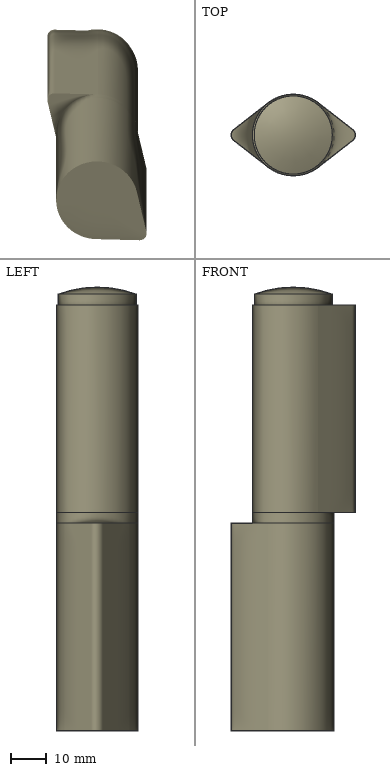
import cadquery as cq
import math

total_height = 125.0
barrel_radius = 23.0 / 2
fin_reach = 17.5
fin_tip_radius = 2.0
washer_thickness = 3.0
cap_radius = 22.0 / 2
cap_rim_height = 3.0
cap_dome_height = 2.0

cap_height = cap_rim_height + cap_dome_height
leaf_length = (total_height - cap_height - washer_thickness) / 2
washer_base = leaf_length
upper_leaf_base = washer_base + washer_thickness
cap_base = upper_leaf_base + leaf_length


def make_leaf(base_z, side):
    """Teardrop prism: a round barrel drawn out to a rounded fin towards +X (side=1) or -X (side=-1)."""
    tip_center = fin_reach - fin_tip_radius
    normal_x = (barrel_radius - fin_tip_radius) / tip_center
    normal_y = math.sqrt(1 - normal_x**2)
    barrel_x = side * barrel_radius * normal_x
    barrel_y = barrel_radius * normal_y
    tip_x = side * (tip_center + fin_tip_radius * normal_x)
    tip_y = fin_tip_radius * normal_y
    return (
        cq.Workplane("XY", origin=(0, 0, base_z))
        .moveTo(barrel_x, barrel_y)
        .threePointArc((-side * barrel_radius, 0), (barrel_x, -barrel_y))
        .lineTo(tip_x, -tip_y)
        .threePointArc((side * fin_reach, 0), (tip_x, tip_y))
        .close()
        .extrude(leaf_length)
    )


def make_washer():
    """Plain disc that separates the two leaves."""
    return cq.Workplane("XY", origin=(0, 0, washer_base)).circle(barrel_radius).extrude(washer_thickness)


def make_cap():
    """Short cylinder with a shallow spherical dome, revolved about the hinge axis."""
    dome_radius = (cap_radius**2 + cap_dome_height**2) / (2 * cap_dome_height)
    dome_center_z = total_height - dome_radius
    mid_x = cap_radius / 2
    mid_z = dome_center_z + math.sqrt(dome_radius**2 - mid_x**2)
    return (
        cq.Workplane("XZ")
        .moveTo(0, cap_base)
        .lineTo(cap_radius, cap_base)
        .lineTo(cap_radius, cap_base + cap_rim_height)
        .threePointArc((mid_x, mid_z), (0, total_height))
        .close()
        .revolve(360, (0, 0, 0), (0, 1, 0))
    )


lower_leaf = make_leaf(0, side=-1)
washer = make_washer()
upper_leaf = make_leaf(upper_leaf_base, side=1)
cap = make_cap()

result = cq.Compound.makeCompound([lower_leaf.val(), washer.val(), upper_leaf.val(), cap.val()])